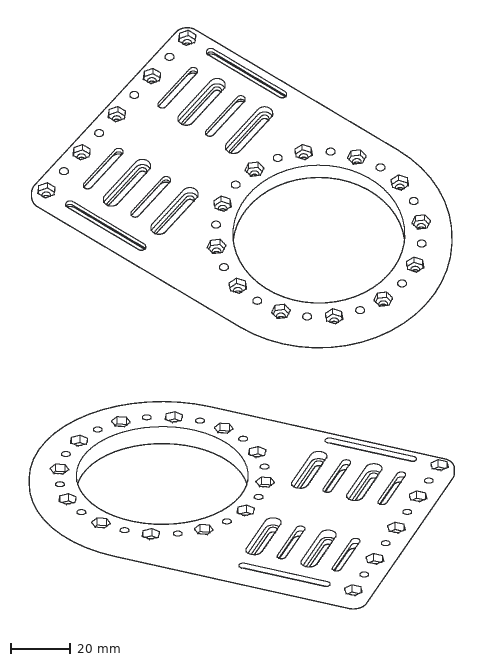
import cadquery as cq
import math

length = 135.0
width = 90.0
plate_thickness = 5.0
corner_radius = 5.0
edge_round = 1.5
end_radius = width / 2
left_x = end_radius - length

bore_diameter = 58.0
collar_diameter = 62.0
collar_height = 2.0

screw_diameter = 3.0
nut_across_flats = 5.5
nut_depth = 3.0
hole_pitch = 10.0
row_inset = 5.0
row_hole_count = 9
bolt_circle_radius = 35.0
bolt_circle_count = 24

slot_travel = 17.5
slot_offset_y = 21.2
slot_count = 4
first_slot_x = left_x + row_inset + hole_pitch
side_slot_travel = (slot_count - 1) * hole_pitch

bottom_recess_z = 0
top_recess_z = plate_thickness - nut_depth
row_x = left_x + row_inset
row_half_length = (row_hole_count - 1) / 2 * hole_pitch


def make_plate():
    """Flat plate with rounded corners and rounded top and bottom edges."""
    straight = (
        cq.Workplane("XY")
        .rect(-left_x, width)
        .extrude(plate_thickness)
        .translate((left_x / 2, 0, 0))
        .edges("|Z and <X")
        .fillet(corner_radius)
    )
    round_end = cq.Workplane("XY").circle(end_radius).extrude(plate_thickness)
    return straight.union(round_end).clean().faces("<Z or >Z").edges().fillet(edge_round)


def screw_hole(x, y):
    """Cutter for a plain through hole."""
    return cq.Workplane("XY").center(x, y).circle(screw_diameter / 2).extrude(plate_thickness)


def nut_pocket(x, y, turn):
    """Cutter for a hexagonal pocket with one corner pointing along the turn angle."""
    across_corners = nut_across_flats / math.cos(math.radians(30))
    return (
        cq.Workplane("XY")
        .polygon(6, across_corners)
        .extrude(nut_depth)
        .rotate((0, 0, 0), (0, 0, 1), turn)
        .translate((x, y, top_recess_z))
    )


def nut_slot(x, y, travel, turn, recess_floor):
    """Cutter for a round-ended through slot with a nut recess starting at recess_floor."""
    narrow = cq.Workplane("XY").slot2D(travel + screw_diameter, screw_diameter, turn).extrude(plate_thickness)
    recess = (
        cq.Workplane("XY", origin=(0, 0, recess_floor))
        .slot2D(travel + nut_across_flats, nut_across_flats, turn)
        .extrude(nut_depth)
    )
    return narrow.union(recess).translate((x, y, 0))


def add_bored_collar(body):
    """Add the collar under the plate and bore through both."""
    collar = cq.Workplane("XY").circle(collar_diameter / 2).extrude(-collar_height)
    bore = (
        cq.Workplane("XY", origin=(0, 0, -collar_height))
        .circle(bore_diameter / 2)
        .extrude(collar_height + plate_thickness)
    )
    return body.union(collar).cut(bore)


def cut_hole_row(body):
    """Row of holes along the straight edge, every second one with a nut pocket."""
    for i in range(row_hole_count):
        y = i * hole_pitch - row_half_length
        body = body.cut(screw_hole(row_x, y))
        if i % 2 == 0:
            body = body.cut(nut_pocket(row_x, y, 0))
    return body


def cut_bolt_circle(body):
    """Ring of holes around the bore, every second one with a nut pocket turned radially."""
    for i in range(bolt_circle_count):
        angle = i * 360 / bolt_circle_count
        x = bolt_circle_radius * math.cos(math.radians(angle))
        y = bolt_circle_radius * math.sin(math.radians(angle))
        body = body.cut(screw_hole(x, y))
        if i % 2 == 1:
            body = body.cut(nut_pocket(x, y, angle))
    return body


def cut_slots(body):
    """Two banks of crosswise slots and one lengthwise slot beside each long edge."""
    side_slot_x = first_slot_x + side_slot_travel / 2
    for side in (-1, 1):
        for i in range(slot_count):
            x = first_slot_x + i * hole_pitch
            recess_floor = bottom_recess_z if i % 2 == 0 else top_recess_z
            body = body.cut(nut_slot(x, side * slot_offset_y, slot_travel, 90, recess_floor))
        side_slot_y = side * row_half_length
        body = body.cut(nut_slot(side_slot_x, side_slot_y, side_slot_travel, 0, bottom_recess_z))
    return body


result = add_bored_collar(make_plate())
result = cut_hole_row(result)
result = cut_bolt_circle(result)
result = cut_slots(result)